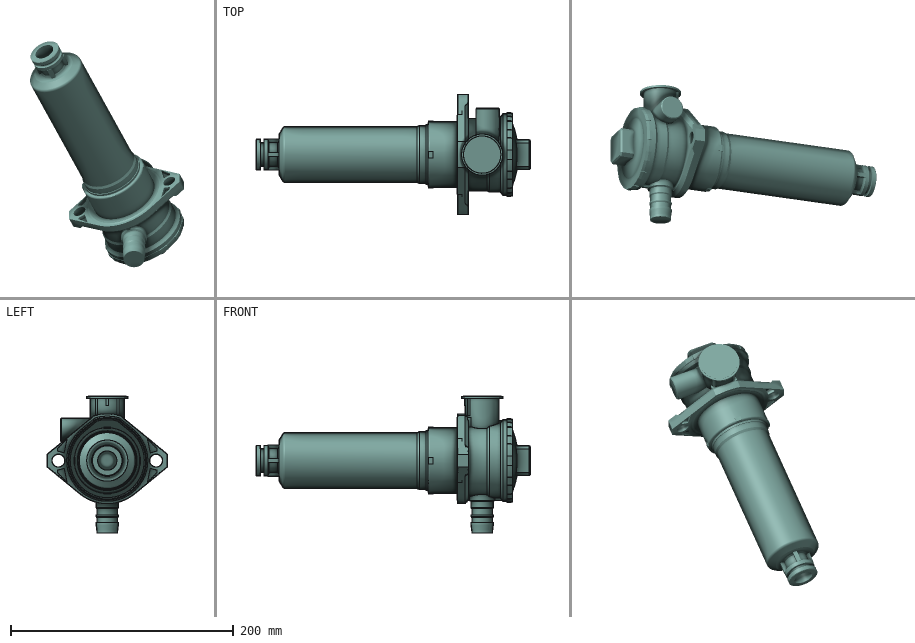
import cadquery as cq
import math

TOTAL_LENGTH = 246.7

NOZZLE_RADIUS = 13.8
NOZZLE_CORE_RADIUS = 10.9
NOZZLE_BORE_RADIUS = 8.6
NOZZLE_BORE_DEPTH = 19.7
SEAL_GROOVE_START = 4.0
SEAL_GROOVE_END = 7.2
NOZZLE_COLLAR_END = 10.5
NOZZLE_FLARE = 1.2
NOZZLE_RIB_WIDTH = 3.7
NOZZLE_RIB_RADIUS = 14.0
NOZZLE_EDGE = 0.5

CANISTER_START = 20.7
CANISTER_END = 144.8
CANISTER_NOSE_RADIUS = 18.5
CANISTER_SHOULDER_RADIUS = 24.0
CANISTER_SHOULDER_LENGTH = 3.5
CANISTER_RADIUS = 25.2
CANISTER_ROUND_LENGTH = 2.2
BAND_START = 147.0
BAND_END = 152.7
BAND_RADIUS = 26.2

NECK_START = 154.7
NECK_RADIUS = 29.5
NECK_EDGE = 1.7
NECK_STEP_RADIUS = 27.0
TAB_START = 155.2
TAB_LENGTH = 3.7
TAB_WIDTH = 5.7
TAB_HEIGHT = 0.5

FLANGE_FRONT = 181.3
FLANGE_THICKNESS = 9.5
FLANGE_RADIUS = 38.7
CROWN_RISE = 3.5
FLANGE_HALF_WIDTH = 54.0
EAR_HALF_HEIGHT = 5.7
FLANGE_CHAMFER = 3.2
EAR_FULL_START = 46.9
BOLT_CENTRE = 44.0
BOLT_RADIUS = 5.7
EAR_POCKET_DEPTH = 3.7
EAR_POCKET = [(36.0, 19.7), (45.0, 10.5), (44.7, 8.6), (38.7, 7.0)]
GASKET_OUTER_RADIUS = 36.5
GASKET_INNER_RADIUS = 33.3
GASKET_PROTRUSION = 0.5
GASKET_BEVEL_WIDTH = 1.2

HEAD_RADIUS = 32.5
HEAD_STEP_START = 207.7
HEAD_STEP_END = 209.7
HEAD_STEP_RADIUS = 33.8
RIM_CONE_START = 219.5
RIM_START = 222.0
RIM_RADIUS = 36.8
RIM_END = 230.7
GRIP_BAND_START = 225.7
GRIP_BAND_FULL_END = 228.2
GRIP_BAND_RADIUS = 37.3
LUG_COUNT = 12
LUG_RADIUS = 37.7
LUG_WIDTH = 8.5
LUG_ROOT_RADIUS = 34.5
LUG_SLOPE_DROP = 0.7
DOME_RADIUS = 27.6
DOME_HEIGHT = 5.2
DOME_SPHERE_RADIUS = (DOME_RADIUS**2 + DOME_HEIGHT**2) / (2 * DOME_HEIGHT)
KNOB_HALF_WIDTH = 13.5
KNOB_CORNER = 3.0
KNOB_EDGE = 1.2

PORT_X = 203.3
INLET_RADIUS = 15.3
INLET_TOP = 58.0
INLET_DISC_RADIUS = 18.5
INLET_DISC_THICKNESS = 2.0
INLET_DISC_GROOVE_RADIUS = 16.8
INLET_DISC_STEP = 0.2
INLET_RIB_WIDTH = 2.0
INLET_RIB_OFFSET = 9.5
INLET_RIB_REACH = 13.0
INLET_SHORT_RIB_REACH = 15.8
INLET_RIB_BOTTOM = 40.7
INLET_SHORT_RIB_LENGTH = 6.5

SIDE_PORT_X = 208.2
SIDE_PORT_Z = 27.6
SIDE_PORT_RADIUS = 10.5
SIDE_PORT_END = 42.0
SIDE_PORT_EDGE = 0.7

BARB_TIP = 65.1
BARB_CORE_RADIUS = 9.4
BARB_RADIUS = 10.0
BARB_BASE_RADIUS = 11.5
BARB_BASE_END = 36.8
BARB_BASE_BEVEL = 1.0

WEB_START = 190.0
WEB_THICKNESS = 3.0
BACKING_BLOCK_TOP = 38.7
BACKING_BLOCK_END = 193.2
BACKING_BLOCK_HALF_WIDTH = 12.0
WEB_HEIGHT = 36.0


def cylinder_x(start, end, radius):
    return cq.Workplane("YZ", origin=(start, 0, 0)).circle(radius).extrude(end - start)


def box(x, y, z):
    """Box from (low, high) limits along each axis."""
    size = (x[1] - x[0], y[1] - y[0], z[1] - z[0])
    return cq.Workplane("XY", origin=(x[0], y[0], z[0])).box(*size, centered=False)


def around_x(shape, angle):
    return shape.rotate((0, 0, 0), (1, 0, 0), angle)


def make_turned_body():
    shoulder_x = CANISTER_START + CANISTER_SHOULDER_LENGTH
    neck_face_radius = NECK_RADIUS - NECK_EDGE
    profile = (
        cq.Workplane("XY")
        .moveTo(0, 0)
        .lineTo(0, NOZZLE_RADIUS - NOZZLE_EDGE)
        .lineTo(NOZZLE_EDGE, NOZZLE_RADIUS)
        .lineTo(SEAL_GROOVE_START, NOZZLE_RADIUS)
        .lineTo(SEAL_GROOVE_START, NOZZLE_CORE_RADIUS)
        .lineTo(SEAL_GROOVE_END, NOZZLE_CORE_RADIUS)
        .lineTo(SEAL_GROOVE_END, NOZZLE_RADIUS)
        .lineTo(NOZZLE_COLLAR_END, NOZZLE_RADIUS)
        .lineTo(NOZZLE_COLLAR_END + NOZZLE_FLARE, NOZZLE_CORE_RADIUS)
        .lineTo(CANISTER_START - NOZZLE_FLARE, NOZZLE_CORE_RADIUS)
        .lineTo(CANISTER_START, NOZZLE_CORE_RADIUS + NOZZLE_FLARE)
        .lineTo(CANISTER_START, CANISTER_NOSE_RADIUS)
        .lineTo(shoulder_x, CANISTER_SHOULDER_RADIUS)
        .tangentArcPoint((shoulder_x + CANISTER_ROUND_LENGTH, CANISTER_RADIUS), relative=False)
        .lineTo(CANISTER_END, CANISTER_RADIUS)
        .lineTo(BAND_START, BAND_RADIUS)
        .lineTo(BAND_END, BAND_RADIUS)
        .lineTo(BAND_END, NECK_STEP_RADIUS)
        .lineTo(NECK_START, NECK_STEP_RADIUS)
        .lineTo(NECK_START, neck_face_radius)
        .radiusArc((NECK_START + NECK_EDGE, NECK_RADIUS), NECK_EDGE)
        .lineTo(FLANGE_FRONT + FLANGE_THICKNESS, NECK_RADIUS)
        .lineTo(FLANGE_FRONT + FLANGE_THICKNESS, HEAD_RADIUS)
        .lineTo(HEAD_STEP_START, HEAD_RADIUS)
        .lineTo(HEAD_STEP_END, HEAD_STEP_RADIUS)
        .lineTo(RIM_CONE_START, HEAD_STEP_RADIUS)
        .lineTo(RIM_START, RIM_RADIUS)
        .lineTo(GRIP_BAND_START, RIM_RADIUS)
        .lineTo(GRIP_BAND_START, GRIP_BAND_RADIUS)
        .lineTo(GRIP_BAND_FULL_END, GRIP_BAND_RADIUS)
        .lineTo(RIM_END, RIM_RADIUS)
        .lineTo(RIM_END, DOME_RADIUS)
        .radiusArc((RIM_END + DOME_HEIGHT, 0), DOME_SPHERE_RADIUS)
        .close()
    )
    return profile.revolve(360, (0, 0, 0), (1, 0, 0))


def make_nozzle_ribs():
    half = NOZZLE_RIB_WIDTH / 2
    ribs = cq.Workplane("XY")
    for angle in (0, 90):
        cross_rib = box(
            (NOZZLE_COLLAR_END, CANISTER_START),
            (-half, half),
            (-NOZZLE_RIB_RADIUS, NOZZLE_RIB_RADIUS),
        )
        ribs = ribs.add(around_x(cross_rib, angle))
    return ribs.combine()


def make_neck_tabs():
    half = TAB_WIDTH / 2
    reach = NECK_RADIUS + TAB_HEIGHT
    tabs = cq.Workplane("XY")
    for angle in (0, 90):
        tab_pair = box((TAB_START, TAB_START + TAB_LENGTH), (-half, half), (-reach, reach))
        tabs = tabs.add(around_x(tab_pair, angle))
    return tabs.combine()


def flange_side_angle():
    """Angle from +Y to the normal of the straight flange side that runs from the ear to the middle."""
    corner_distance = math.hypot(FLANGE_HALF_WIDTH, EAR_HALF_HEIGHT)
    return math.atan2(EAR_HALF_HEIGHT, FLANGE_HALF_WIDTH) + math.acos(FLANGE_RADIUS / corner_distance)


def polar_point(radius, angle):
    return radius * math.cos(angle), radius * math.sin(angle)


def crowned_outline(x, radius, ear_corner=None):
    """Round YZ outline whose top is raised to a crown reached by straight sides, with optional ears.

    The straight sides run at the angle of the flange sides and touch the round part.
    """
    side_angle = flange_side_angle()
    crown_radius = radius + CROWN_RISE
    tangent_y, tangent_z = polar_point(radius, side_angle)
    crown_y, crown_z = polar_point(crown_radius, side_angle + math.acos(radius / crown_radius))
    outline = (
        cq.Workplane("YZ", origin=(x, 0, 0))
        .moveTo(crown_y, crown_z)
        .threePointArc((0, crown_radius), (-crown_y, crown_z))
    )
    if ear_corner:
        ear_y, ear_z = ear_corner
        outline = (
            outline.lineTo(-ear_y, ear_z)
            .lineTo(-ear_y, -ear_z)
            .lineTo(-tangent_y, -tangent_z)
            .threePointArc((0, -radius), (tangent_y, -tangent_z))
            .lineTo(ear_y, -ear_z)
            .lineTo(ear_y, ear_z)
        )
    else:
        outline = (
            outline.lineTo(-tangent_y, tangent_z)
            .threePointArc((0, -radius), (tangent_y, tangent_z))
        )
    return outline.close()


def crowned_loft(base_radius, front_radius):
    """Sloping-sided solid on the front of the flange, as high as the gasket stands proud."""
    base = crowned_outline(FLANGE_FRONT, base_radius).wires().val()
    front = crowned_outline(FLANGE_FRONT - GASKET_PROTRUSION, front_radius).wires().val()
    return cq.Workplane(cq.Solid.makeLoft([base, front], True))


def make_gasket():
    outer = crowned_loft(GASKET_OUTER_RADIUS, GASKET_OUTER_RADIUS - GASKET_BEVEL_WIDTH)
    inner = crowned_loft(GASKET_INNER_RADIUS, GASKET_INNER_RADIUS + GASKET_BEVEL_WIDTH)
    return outer.cut(inner)


def make_flange():
    ear_corner = (FLANGE_HALF_WIDTH, EAR_HALF_HEIGHT)
    blank = crowned_outline(FLANGE_FRONT, FLANGE_RADIUS, ear_corner).extrude(FLANGE_THICKNESS)
    rear = FLANGE_FRONT + FLANGE_THICKNESS
    bevel_start = rear - FLANGE_CHAMFER
    inner_y = EAR_FULL_START - FLANGE_CHAMFER
    middle = (
        cq.Workplane("XY")
        .polyline([
            (FLANGE_FRONT, -inner_y),
            (bevel_start, -inner_y),
            (rear, -EAR_FULL_START),
            (rear, EAR_FULL_START),
            (bevel_start, inner_y),
            (FLANGE_FRONT, inner_y),
        ])
        .close()
        .extrude(FLANGE_RADIUS + CROWN_RISE, both=True)
    )
    flange = blank.faces(">X").chamfer(FLANGE_CHAMFER).union(blank.cut(middle))

    bolts = (
        cq.Workplane("YZ", origin=(FLANGE_FRONT, 0, 0))
        .pushPoints([(-BOLT_CENTRE, 0), (BOLT_CENTRE, 0)])
        .circle(BOLT_RADIUS)
        .extrude(FLANGE_THICKNESS)
    )
    flange = flange.cut(bolts)
    for side in (-1, 1):
        for level in (-1, 1):
            corners = [(side * y, level * z) for y, z in EAR_POCKET]
            pocket = cq.Workplane("YZ", origin=(FLANGE_FRONT, 0, 0)).polyline(corners).close()
            flange = flange.cut(pocket.extrude(EAR_POCKET_DEPTH))
    return flange


def make_cap_lugs():
    lug = (
        cq.Workplane("XZ", origin=(0, LUG_WIDTH / 2, 0))
        .polyline([
            (GRIP_BAND_START, LUG_ROOT_RADIUS),
            (GRIP_BAND_START, LUG_RADIUS),
            (GRIP_BAND_FULL_END, LUG_RADIUS),
            (RIM_END, LUG_RADIUS - LUG_SLOPE_DROP),
            (RIM_END, LUG_ROOT_RADIUS),
        ])
        .close()
        .extrude(LUG_WIDTH)
    )
    lugs = cq.Workplane("XY")
    for index in range(LUG_COUNT):
        lugs = lugs.add(around_x(lug, index * 360 / LUG_COUNT))
    return lugs.combine()


def make_knob():
    width = 2 * KNOB_HALF_WIDTH
    return (
        cq.Workplane("YZ", origin=(RIM_END, 0, 0))
        .rect(width, width)
        .extrude(TOTAL_LENGTH - RIM_END)
        .edges("|X")
        .chamfer(KNOB_CORNER)
        .faces(">X")
        .chamfer(KNOB_EDGE)
    )


def make_inlet():
    disc_bottom = INLET_TOP - INLET_DISC_THICKNESS
    base = cq.Workplane("XY", origin=(PORT_X, 0, 0))
    inlet = base.circle(INLET_RADIUS).extrude(disc_bottom)
    disc = base.workplane(offset=disc_bottom).circle(INLET_DISC_RADIUS)
    inlet = inlet.union(disc.extrude(INLET_DISC_THICKNESS - INLET_DISC_STEP))
    crown = base.workplane(offset=INLET_TOP - INLET_DISC_STEP).circle(INLET_DISC_GROOVE_RADIUS)
    inlet = inlet.union(crown.extrude(INLET_DISC_STEP))

    half = INLET_RIB_WIDTH / 2
    short_rib_bottom = disc_bottom - INLET_SHORT_RIB_LENGTH
    ribs = [
        (-INLET_RIB_OFFSET, INLET_RIB_REACH, INLET_RIB_BOTTOM),
        (0, INLET_SHORT_RIB_REACH, short_rib_bottom),
        (INLET_RIB_OFFSET, INLET_RIB_REACH, INLET_RIB_BOTTOM),
    ]
    for offset, reach, bottom in ribs:
        rib = box((PORT_X - reach, PORT_X), (offset - half, offset + half), (bottom, disc_bottom))
        inlet = inlet.union(rib)
    return inlet


def make_side_port():
    return (
        cq.Workplane("XZ", origin=(SIDE_PORT_X, 0, SIDE_PORT_Z))
        .circle(SIDE_PORT_RADIUS)
        .extrude(-SIDE_PORT_END)
        .faces(">Y")
        .chamfer(SIDE_PORT_EDGE)
    )


def make_barbed_drain():
    outline = [
        (0, 0),
        (BARB_BASE_RADIUS, 0),
        (BARB_BASE_RADIUS, BARB_BASE_END - BARB_BASE_BEVEL),
        (BARB_RADIUS, BARB_BASE_END),
        (BARB_RADIUS, 42.2),
        (BARB_CORE_RADIUS, 43.2),
        (BARB_CORE_RADIUS, 48.8),
        (BARB_RADIUS, 48.8),
        (BARB_RADIUS, 50.0),
        (BARB_CORE_RADIUS, 51.3),
        (BARB_CORE_RADIUS, 55.5),
        (BARB_RADIUS, 55.5),
        (BARB_RADIUS, 57.5),
        (BARB_CORE_RADIUS, 63.2),
        (BARB_CORE_RADIUS, BARB_TIP),
        (0, BARB_TIP),
    ]
    points = [(radius, -depth) for radius, depth in outline]
    return (
        cq.Workplane("XZ", origin=(PORT_X, 0, 0)).polyline(points).close().revolve(360, (0, 0, 0), (0, 1, 0))
    )


def make_webs():
    half = WEB_THICKNESS / 2
    web = box((WEB_START, RIM_START), (-half, half), (-WEB_HEIGHT, WEB_HEIGHT))
    backing_block = box(
        (WEB_START, BACKING_BLOCK_END),
        (-BACKING_BLOCK_HALF_WIDTH, BACKING_BLOCK_HALF_WIDTH),
        (0, BACKING_BLOCK_TOP),
    )
    return web.union(backing_block)


result = make_turned_body()
for feature in (
    make_nozzle_ribs(),
    make_neck_tabs(),
    make_flange(),
    make_gasket(),
    make_cap_lugs(),
    make_knob(),
    make_inlet(),
    make_side_port(),
    make_barbed_drain(),
    make_webs(),
):
    result = result.union(feature)
result = result.cut(cylinder_x(0, NOZZLE_BORE_DEPTH, NOZZLE_BORE_RADIUS))